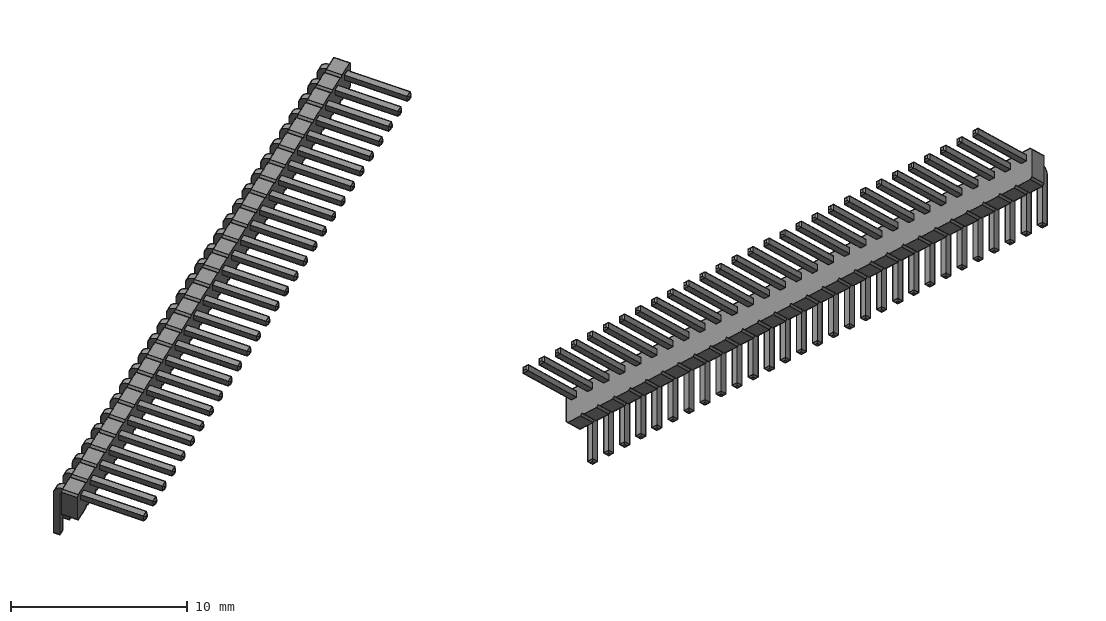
import cadquery as cq
import math

PIN_COUNT = 29
STRIP_LENGTH = 36.83
PITCH = STRIP_LENGTH / PIN_COUNT

HOUSING_X = 0.7
HOUSING_DEPTH = 1.0
HOUSING_HEIGHT = 2.1
NOTCH_DEPTH = 0.13

PIN_WIDTH = 0.4
PIN_AXIS_DROP = 0.5
PIN_REACH = 5.7
TAIL_BOTTOM = -4.35
BEND_RADIUS = 0.4
TIP_LENGTH = 0.1
TIP_INSET = 0.1


def housing():
    """The full strip, with V notches between segments and matching bevels at both ends."""
    middle_x = HOUSING_X + HOUSING_DEPTH / 2
    strip = (
        cq.Workplane("XY")
        .box(HOUSING_DEPTH, STRIP_LENGTH, HOUSING_HEIGHT)
        .translate((middle_x, 0, -HOUSING_HEIGHT / 2))
    )
    notch_side = NOTCH_DEPTH * math.sqrt(2)
    notch = (
        cq.Workplane("XY")
        .box(HOUSING_DEPTH, notch_side, notch_side)
        .rotate((0, 0, 0), (1, 0, 0), 45)
        .val()
    )
    notches = []
    for boundary in range(PIN_COUNT + 1):
        notch_y = boundary * PITCH - STRIP_LENGTH / 2
        for notch_z in (0, -HOUSING_HEIGHT):
            notches.append(notch.translate(cq.Vector(middle_x, notch_y, notch_z)))
    return strip.val().cut(*notches)


def tapered_tip(plane):
    """A square frustum that closes a pin end, growing along the plane normal."""
    end_width = PIN_WIDTH - 2 * TIP_INSET
    return (
        cq.Workplane(plane)
        .rect(PIN_WIDTH, PIN_WIDTH)
        .workplane(offset=TIP_LENGTH)
        .rect(end_width, end_width)
        .loft(ruled=True)
    )


def bent_pin():
    """A square pin with a rounded right-angle bend, on the plane Y = 0."""
    tail_x = PIN_WIDTH / 2
    shaft_z = -PIN_AXIS_DROP
    tail_end = cq.Vector(tail_x, 0, TAIL_BOTTOM + TIP_LENGTH)
    shaft_end = cq.Vector(PIN_REACH - TIP_LENGTH, 0, shaft_z)
    bend_start = (tail_x, shaft_z - BEND_RADIUS)
    bend_end = (tail_x + BEND_RADIUS, shaft_z)

    axis = (
        cq.Workplane("XZ")
        .moveTo(tail_end.x, tail_end.z)
        .lineTo(*bend_start)
        .tangentArcPoint(bend_end, relative=False)
        .lineTo(shaft_end.x, shaft_end.z)
    )
    bar = cq.Workplane("XY", origin=tail_end).rect(PIN_WIDTH, PIN_WIDTH).sweep(axis)
    tail_tip = tapered_tip(cq.Plane(tail_end, xDir=(1, 0, 0), normal=(0, 0, -1)))
    shaft_tip = tapered_tip(cq.Plane(shaft_end, xDir=(0, 1, 0), normal=(1, 0, 0)))
    return bar.union(tail_tip).union(shaft_tip)


pin = bent_pin().val()
pins = []
for index in range(PIN_COUNT):
    pin_y = (index - (PIN_COUNT - 1) / 2) * PITCH
    pins.append(pin.translate(cq.Vector(0, pin_y, 0)))
result = cq.Workplane(housing().fuse(*pins)).solids()